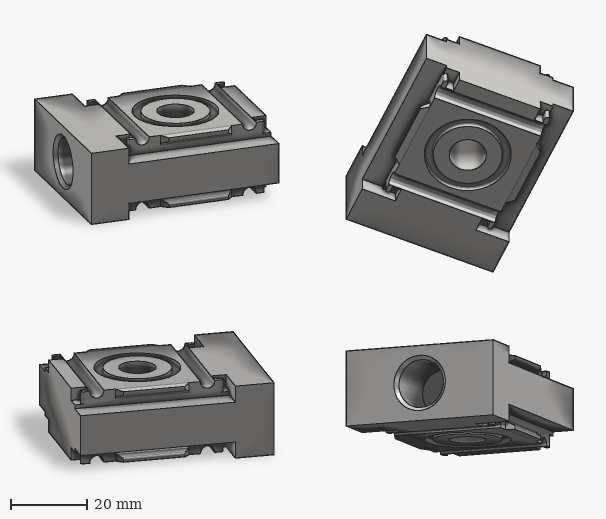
import cadquery as cq
import math

width = 42.0
length = 52.5
height = 20.0
head_length = 10.5
pad_width = 30.45
ledge_depth = 4.45
half_height = height / 2
pad_edge = pad_width / 2
ledge_width = width / 2 - pad_edge
body_length = length - head_length
body_center_y = head_length + body_length / 2

bore_diameter = 9.7
ring_outer_diameter = 22.7
ring_inner_diameter = 18.1
ring_depth = 1.4
ring_floor_fillet = 0.2

groove_offset = 15.0
groove_radius = 1.9
groove_depth = 2.0

pocket_width = 3.7
pocket_length = 3.8
pocket_depth = 3.4
tab_width = 1.3
tab_length = 2.05

catch_reach = 2.0
catch_base_length = 20.0
catch_tip_length = 16.7
catch_height = 2.6
catch_top_drop = 0.2
catch_tip_bottom = 0.8
catch_bend_angle = 64.0
catch_root_overlap = 0.5

port_mouth_diameter = 14.7
port_top_diameter = 12.7
port_floor_diameter = 12.1
port_chamfer_depth = 1.0
port_depth = 15.75


def make_block():
    return cq.Workplane("XY").box(width, length, height, centered=(True, False, True))


def make_ledge():
    """Material removed beside the +X pad edge, from the head to the back."""
    return cq.Workplane("XY", origin=(pad_edge, head_length, half_height - ledge_depth)).box(
        ledge_width, body_length, ledge_depth, centered=False
    )


def make_ring_groove():
    floor = half_height - ring_depth
    ring = (
        cq.Workplane("XY", origin=(0, body_center_y, floor))
        .circle(ring_outer_diameter / 2)
        .circle(ring_inner_diameter / 2)
        .extrude(ring_depth)
    )
    return ring.faces("<Z").edges().fillet(ring_floor_fillet)


def make_cross_groove():
    """Groove across the pad on the head side of the bore."""
    center_y = body_center_y - groove_offset
    arc_center_z = half_height - groove_depth + groove_radius
    left = center_y - groove_radius
    right = center_y + groove_radius
    return (
        cq.Workplane("YZ")
        .moveTo(left, half_height)
        .lineTo(left, arc_center_z)
        .threePointArc((center_y, half_height - groove_depth), (right, arc_center_z))
        .lineTo(right, half_height)
        .close()
        .extrude(pad_edge, both=True)
    )


def make_corner_pocket():
    """Pocket at the +X pad edge beside the head, open to the side ledge."""
    wall_y = head_length + pocket_length
    nose_tip_y = wall_y - tab_length
    nose_start_y = nose_tip_y + tab_width / 2
    inner_x = pad_edge - pocket_width
    tab_x = pad_edge - tab_width
    return (
        cq.Workplane("XY", origin=(0, 0, half_height - pocket_depth))
        .moveTo(inner_x, head_length)
        .lineTo(inner_x, wall_y)
        .lineTo(tab_x, wall_y)
        .lineTo(tab_x, nose_start_y)
        .threePointArc((pad_edge - tab_width / 2, nose_tip_y), (pad_edge, nose_start_y))
        .lineTo(pad_edge, head_length)
        .close()
        .extrude(pocket_depth)
    )


def make_catch():
    """Catch on the +X pad edge: an S-shaped section trimmed by a trapezoid in plan."""
    root_x = pad_edge - catch_root_overlap
    tip_x = pad_edge + catch_reach
    base_z = half_height - catch_height
    tip_bottom_z = half_height - catch_tip_bottom

    turn = math.radians(catch_bend_angle)
    drop = tip_bottom_z - base_z
    bend_radius = (drop * math.tan(turn) - catch_reach) / (2 / math.cos(turn) - 2)
    bend_run = bend_radius * (1 - math.cos(turn))
    bend_drop = bend_radius * math.sin(turn)

    section = (
        cq.Workplane("XZ", origin=(0, body_center_y, 0))
        .moveTo(root_x, base_z)
        .lineTo(root_x, half_height)
        .lineTo(pad_edge, half_height)
        .lineTo(tip_x, half_height - catch_top_drop)
        .lineTo(tip_x, tip_bottom_z)
        .tangentArcPoint((tip_x - bend_run, tip_bottom_z - bend_drop), relative=False)
        .lineTo(pad_edge + bend_run, base_z + bend_drop)
        .tangentArcPoint((pad_edge, base_z), relative=False)
        .close()
        .extrude(catch_base_length / 2, both=True)
    )
    plan = (
        cq.Workplane("XY", origin=(0, body_center_y, base_z))
        .moveTo(root_x, -catch_base_length / 2)
        .lineTo(pad_edge, -catch_base_length / 2)
        .lineTo(tip_x, -catch_tip_length / 2)
        .lineTo(tip_x, catch_tip_length / 2)
        .lineTo(pad_edge, catch_base_length / 2)
        .lineTo(root_x, catch_base_length / 2)
        .close()
        .extrude(catch_height)
    )
    return section.intersect(plan)


def make_port():
    mouth_radius = port_mouth_diameter / 2
    top_radius = port_top_diameter / 2
    floor_radius = port_floor_diameter / 2
    return (
        cq.Workplane("XY")
        .lineTo(mouth_radius, 0)
        .lineTo(top_radius, port_chamfer_depth)
        .lineTo(floor_radius, port_depth)
        .lineTo(0, port_depth)
        .close()
        .revolve(360, (0, 0, 0), (0, 1, 0))
    )


def both_faces(shape):
    """The shape on the top face plus its mirror image on the bottom face."""
    return shape.union(shape.mirror("XY"))


def both_sides(shape):
    """The shape on the +X side plus its mirror image on the -X side."""
    return shape.union(shape.mirror("YZ"))


def both_ends(shape):
    """The shape plus its mirror image about the middle of the body's length."""
    return shape.union(shape.mirror("XZ", (0, body_center_y, 0)))


bore = cq.Workplane("XY", origin=(0, body_center_y, -half_height)).circle(bore_diameter / 2).extrude(height)

result = (
    make_block()
    .cut(both_faces(both_sides(make_ledge())))
    .union(both_faces(both_sides(make_catch())))
    .cut(bore)
    .cut(both_faces(make_ring_groove()))
    .cut(both_faces(both_ends(make_cross_groove())))
    .cut(both_faces(both_sides(both_ends(make_corner_pocket()))))
    .cut(make_port())
)